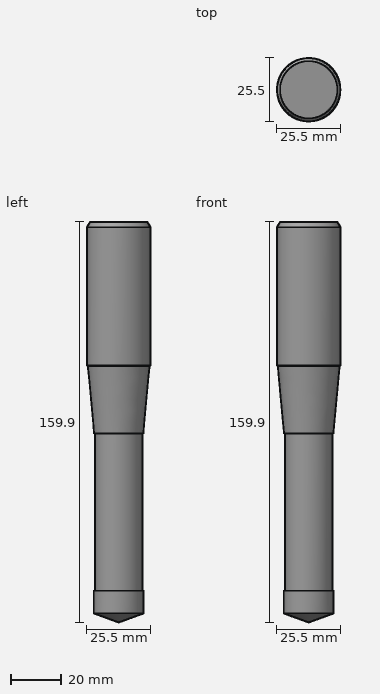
import cadquery as cq
import math

total_length = 159.9

tip_diameter = 20.0
tip_length = 12.8
point_slope = 20.0

neck_diameter = 19.0
taper_bottom_diameter = 19.8
taper_top_diameter = 24.8
shank_diameter = 25.5
taper_bottom_z = 75.6
shank_bottom_z = 102.7
edge_height = 0.3
chamfer_width = 1.3
chamfer_height = 2.0

tip_radius = tip_diameter / 2
point_height = tip_radius * math.tan(math.radians(point_slope))
neck_radius = neck_diameter / 2
shank_radius = shank_diameter / 2


def revolve_profile(points):
    """Turn a closed (radius, height) outline around the Z axis."""
    return cq.Workplane("XZ").polyline(points).close().revolve(360, (0, 0, 0), (0, 1, 0))


def make_tip():
    """Short cylinder ending in a conical point."""
    return revolve_profile([
        (0, 0),
        (tip_radius, point_height),
        (tip_radius, tip_length),
        (0, tip_length),
    ])


def make_holder():
    """Neck, tapered shoulder and chamfered shank, standing on the flat top of the tip."""
    return revolve_profile([
        (0, tip_length),
        (neck_radius, tip_length),
        (neck_radius, taper_bottom_z - edge_height),
        (taper_bottom_diameter / 2, taper_bottom_z),
        (taper_top_diameter / 2, shank_bottom_z - edge_height),
        (shank_radius, shank_bottom_z),
        (shank_radius, total_length - chamfer_height),
        (shank_radius - chamfer_width, total_length),
        (0, total_length),
    ])


tip = make_tip()
holder = make_holder()

result = cq.Compound.makeCompound([tip.val(), holder.val()])